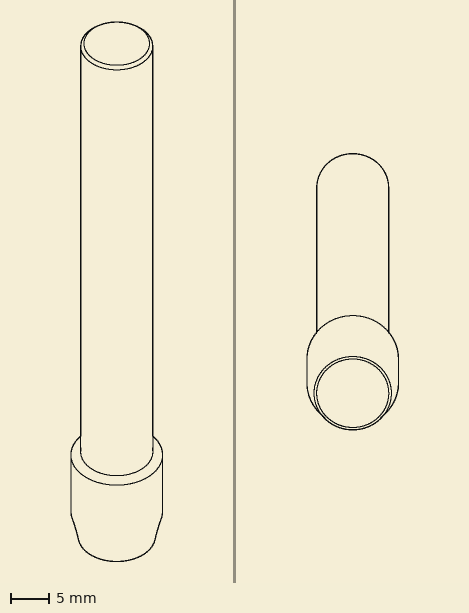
import cadquery as cq

total_length = 85.7
rod_radius = 4.7
rod_chamfer = 0.4

collar_radius = 6.0
collar_height = 14.65
top_cone_height = 0.5
nose_height = 4.3
nose_end_radius = 5.05
nose_hollow = 0.05


def make_rod():
    """Plain round rod with a chamfered top end."""
    rod = cq.Workplane("XY").circle(rod_radius).extrude(total_length)
    return rod.faces(">Z").chamfer(rod_chamfer)


def make_collar():
    """Revolved sleeve with a shallow conical top and a curved, tapering nose."""
    nose_middle = (
        (nose_end_radius + collar_radius) / 2 - nose_hollow,
        nose_height / 2,
    )
    profile = (
        cq.Workplane("XZ")
        .moveTo(rod_radius, 0)
        .lineTo(nose_end_radius, 0)
        .threePointArc(nose_middle, (collar_radius, nose_height))
        .lineTo(collar_radius, collar_height - top_cone_height)
        .lineTo(rod_radius, collar_height)
        .close()
    )
    return profile.revolve(360, (0, 0, 0), (0, 1, 0))


rod = make_rod()
collar = make_collar()

result = cq.Compound.makeCompound([rod.val(), collar.val()])